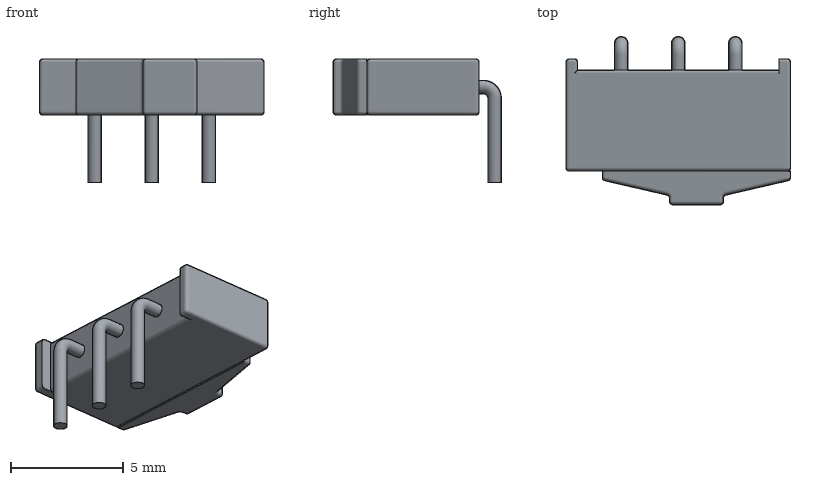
import cadquery as cq
import math

length = 10.0
depth = 5.0
height = 2.5
edge_radius = 0.15

rail_width = 0.52
recess_depth = 0.5

nose_width = 8.38
nose_side_depth = 0.4
nose_depth = 1.5
nose_taper = 13.0
tab_width = 2.4

pin_diameter = 0.6
pin_pitch = 2.54
pin_count = 3
pin_reach = 0.99
pin_drop = 3.0
pin_axis_height = height / 2
bend_radius = 0.5

recess_length = length - 2 * rail_width
nose_center = (length - nose_width) / 2


def make_housing():
    """Block with rounded edges and a recessed back."""
    block = cq.Workplane("XY").box(length, depth, height, centered=(True, False, False))
    block = block.translate((0, -depth, 0))
    recess = (
        cq.Workplane("XY")
        .box(recess_length, recess_depth, height, centered=(True, False, False))
        .translate((0, -recess_depth, 0))
    )
    rounded = block.edges().fillet(edge_radius).cut(recess)
    recess_rims = cq.selectors.BoxSelector(
        (-recess_length / 2 - edge_radius, -recess_depth - edge_radius, -edge_radius),
        (length / 4, edge_radius, height + edge_radius),
    )
    inner_corner = cq.selectors.BoxSelector(
        (-recess_length / 2 - edge_radius, -recess_depth - edge_radius, edge_radius),
        (-recess_length / 2 + edge_radius, -recess_depth + edge_radius, height - edge_radius),
    )
    recess_edges = cq.selectors.SubtractSelector(recess_rims, inner_corner)
    return rounded.edges(recess_edges).edges("|X or |Y").fillet(edge_radius)


def make_nose():
    """Tapered nose ending in a rectangular tab, with rounded outer edges."""
    taper_run = (nose_width - tab_width) / 2
    shoulder_depth = nose_side_depth + taper_run * math.tan(math.radians(nose_taper))
    half_outline = [
        (nose_width / 2, 0),
        (nose_width / 2, -nose_side_depth),
        (tab_width / 2, -shoulder_depth),
        (tab_width / 2, -nose_depth),
    ]
    mirrored = [(-x, y) for x, y in reversed(half_outline)]
    nose = cq.Workplane("XY").polyline(half_outline + mirrored).close().extrude(height)
    nose = nose.edges("|Z").edges("<Y or (not >Y)").fillet(edge_radius)
    nose = nose.faces("<Z or >Z").edges("not >Y").fillet(edge_radius)
    return nose.translate((nose_center, -depth, 0))


def make_pin(x):
    """Round pin leaving the recessed wall and bending straight down."""
    pin_y = pin_reach - pin_diameter / 2
    path = (
        cq.Workplane("YZ", origin=(x, 0, 0))
        .moveTo(-2 * recess_depth, pin_axis_height)
        .lineTo(pin_y - bend_radius, pin_axis_height)
        .tangentArcPoint((pin_y, pin_axis_height - bend_radius), relative=False)
        .lineTo(pin_y, -pin_drop)
    )
    profile = cq.Workplane("XZ", origin=(x, -2 * recess_depth, pin_axis_height))
    return profile.circle(pin_diameter / 2).sweep(path)


result = make_housing().union(make_nose())
for index in range(pin_count):
    result = result.union(make_pin((index - (pin_count - 1) / 2) * pin_pitch))